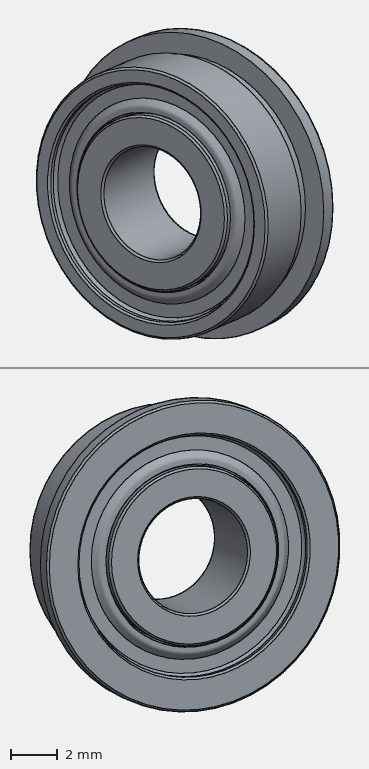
import cadquery as cq

width = 4.0
front = -width / 2
back = width / 2
edge_chamfer = 0.1

flange_radius = 6.75
flange_thickness = 0.8
barrel_radius = 6.0
relief_radius = 5.8
relief_width = 0.61
outer_ring_bore_radius = 5.25

inner_ring_radius = 3.89
bore_radius = 2.5

lip_depth = 0.28
floor_depth = 0.47
floor_radius = 5.15
hub_base_radius = 4.54
hub_shoulder_radius = 4.33
hub_face_radius = 4.17
hub_bore_radius = 3.97
hub_depth = 0.2
rim_sag = 0.03
hub_round_height = 0.08
shoulder_bulge = 0.01
gap_depth = 0.4


def revolve_about_y(profile):
    """Turn a closed (radius, Y) profile into a ring about the Y axis."""
    return profile.close().revolve(360, (0, 0, 0), (0, 1, 0))


def make_outer_ring():
    flange_front = back - flange_thickness
    relief_front = flange_front - relief_width
    profile = cq.Workplane("XY").polyline([
        (outer_ring_bore_radius, front + edge_chamfer),
        (outer_ring_bore_radius + edge_chamfer, front),
        (barrel_radius - edge_chamfer, front),
        (barrel_radius, front + edge_chamfer),
        (barrel_radius, relief_front),
        (relief_radius, relief_front),
        (relief_radius, flange_front),
        (flange_radius, flange_front),
        (flange_radius, back - edge_chamfer),
        (flange_radius - edge_chamfer, back),
        (outer_ring_bore_radius + edge_chamfer, back),
        (outer_ring_bore_radius, back - edge_chamfer),
    ])
    return revolve_about_y(profile)


def make_inner_ring():
    profile = cq.Workplane("XY").polyline([
        (bore_radius, front + edge_chamfer),
        (bore_radius + edge_chamfer, front),
        (inner_ring_radius - edge_chamfer, front),
        (inner_ring_radius, front + edge_chamfer),
        (inner_ring_radius, back - edge_chamfer),
        (inner_ring_radius - edge_chamfer, back),
        (bore_radius + edge_chamfer, back),
        (bore_radius, back - edge_chamfer),
    ])
    return revolve_about_y(profile)


def make_shield():
    lip = front + lip_depth
    floor = front + floor_depth
    hub_face = front + hub_depth
    shoulder = hub_face + hub_round_height
    gap_floor = front + gap_depth
    rim_mid = (outer_ring_bore_radius - rim_sag, (lip + floor) / 2)
    shoulder_mid = (
        (hub_face_radius + hub_shoulder_radius) / 2 + shoulder_bulge,
        (hub_face + shoulder) / 2 - shoulder_bulge,
    )
    front_half = (
        cq.Workplane("XY")
        .moveTo(outer_ring_bore_radius, 0)
        .lineTo(outer_ring_bore_radius, lip)
        .threePointArc(rim_mid, (floor_radius, floor))
        .lineTo(hub_base_radius, floor)
        .lineTo(hub_shoulder_radius, shoulder)
        .threePointArc(shoulder_mid, (hub_face_radius, hub_face))
        .lineTo(hub_bore_radius, hub_face)
        .lineTo(hub_bore_radius, gap_floor)
        .lineTo(inner_ring_radius, gap_floor)
        .lineTo(inner_ring_radius, 0)
    )
    front_half = revolve_about_y(front_half)
    return front_half.union(front_half.mirror("XZ"))


outer_ring = make_outer_ring()
inner_ring = make_inner_ring()
shield = make_shield()

result = cq.Compound.makeCompound([outer_ring.val(), inner_ring.val(), shield.val()])